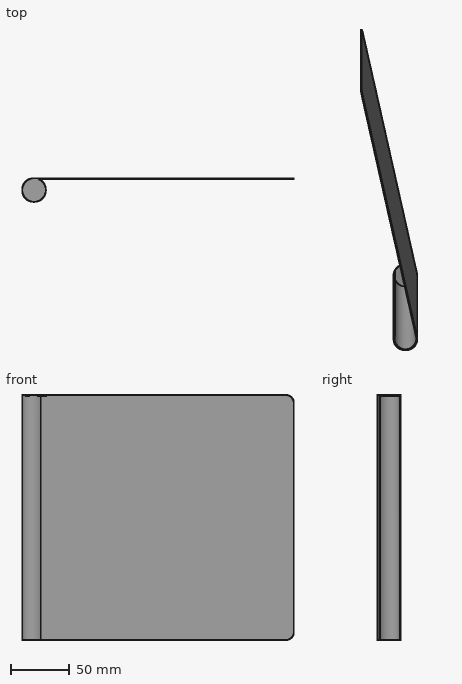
import math

import cadquery as cq

overall_length = 232.73
height = 210.0

curl_diameter = 20.5
curl_radius = curl_diameter / 2
curl_angle = 215.0

sheet_thickness = 1.0
sheet_length = overall_length - curl_radius
corner_radius = 7.0

cap_thickness = 1.0


def point_on_curl(radius, wrap):
    """Point at a wrap angle, measured from the back (+Y) of the curl towards -X."""
    angle = math.radians(wrap)
    return (-radius * math.sin(angle), radius * math.cos(angle))


def make_sheet():
    """Flat sheet and curl in one constant-thickness profile, free corners rounded."""
    inner_radius = curl_radius - sheet_thickness
    half_wrap = curl_angle / 2
    profile = (
        cq.Workplane("XY")
        .moveTo(sheet_length, curl_radius)
        .lineTo(0, curl_radius)
        .threePointArc(point_on_curl(curl_radius, half_wrap), point_on_curl(curl_radius, curl_angle))
        .lineTo(*point_on_curl(inner_radius, curl_angle))
        .threePointArc(point_on_curl(inner_radius, half_wrap), (0, inner_radius))
        .lineTo(sheet_length, inner_radius)
        .close()
    )
    return profile.extrude(height).edges("|Y and >X").fillet(corner_radius)


def make_cap():
    """Full disc flush with the top of the curl."""
    cap_bottom = height - cap_thickness
    return cq.Workplane("XY").workplane(offset=cap_bottom).circle(curl_radius).extrude(cap_thickness)


result = make_sheet().union(make_cap())